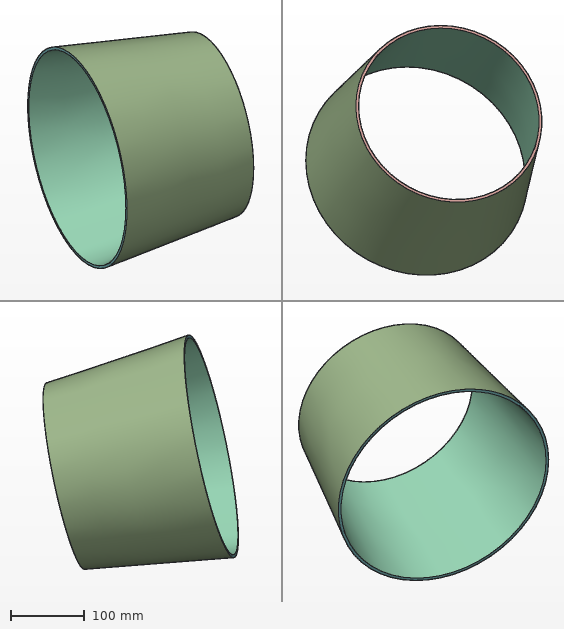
import cadquery as cq

wide_diameter = 308.0
narrow_diameter = 258.0
length = 203.0
wall = 4.0

wide_radius = wide_diameter / 2
narrow_radius = narrow_diameter / 2
wide_y = -length / 2
narrow_y = length / 2

wall_section = (
    cq.Workplane("XY")
    .moveTo(wide_radius - wall, wide_y)
    .lineTo(wide_radius, wide_y)
    .lineTo(narrow_radius, narrow_y)
    .lineTo(narrow_radius - wall, narrow_y)
    .close()
)

result = wall_section.revolve(360, (0, 0, 0), (0, 1, 0))